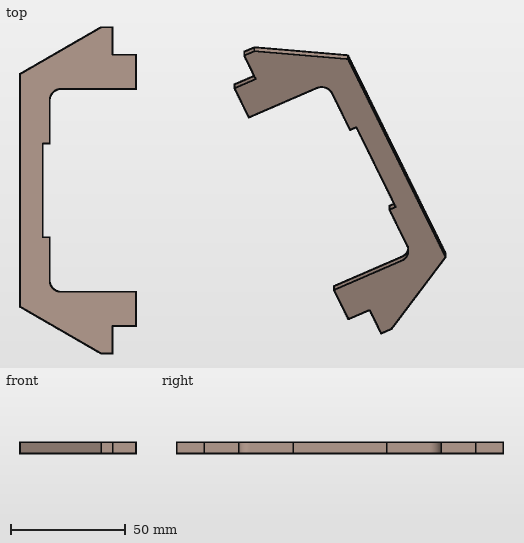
import cadquery as cq
import math

length_x = 50.6
span_y = 142.3
thickness = 5.0

slope_angle = math.radians(30)
tip_flat = 5.0
tab_length = 10.2
tab_width = 15.0

spine_width = 13.0
recess_depth = 3.0
recess_length = 40.8
opening_width = 88.3
corner_radius = 5.0

spine_outer_x = -length_x / 2
tab_end_x = length_x / 2
tip_end_x = tab_end_x - tab_length
tip_start_x = tip_end_x - tip_flat
spine_inner_x = spine_outer_x + spine_width
tip_y = span_y / 2
slope_drop = (tip_start_x - spine_outer_x) * math.tan(slope_angle)
spine_end_y = tip_y - slope_drop
tab_outer_y = (opening_width + 2 * tab_width) / 2


def outer_plate():
    """Plate with sloped shoulders and stepped tabs, before the opening is cut."""
    outline = [
        (spine_outer_x, -spine_end_y),
        (tip_start_x, -tip_y),
        (tip_end_x, -tip_y),
        (tip_end_x, -tab_outer_y),
        (tab_end_x, -tab_outer_y),
        (tab_end_x, tab_outer_y),
        (tip_end_x, tab_outer_y),
        (tip_end_x, tip_y),
        (tip_start_x, tip_y),
        (spine_outer_x, spine_end_y),
    ]
    plate = cq.Workplane("XY").polyline(outline).close().extrude(thickness)
    return plate.translate((0, 0, -thickness / 2))


def opening():
    """Rectangular opening between the arms, rounded where it meets the spine."""
    opening_depth = tab_end_x - spine_inner_x
    centre_x = (tab_end_x + spine_inner_x) / 2
    block = cq.Workplane("XY").box(opening_depth, opening_width, thickness)
    return block.edges("|Z and <X").fillet(corner_radius).translate((centre_x, 0, 0))


def spine_recess():
    """Shallow square-cornered recess in the middle of the spine's inner edge."""
    block = cq.Workplane("XY").box(recess_depth, recess_length, thickness)
    return block.translate((spine_inner_x - recess_depth / 2, 0, 0))


result = outer_plate().cut(opening()).cut(spine_recess())